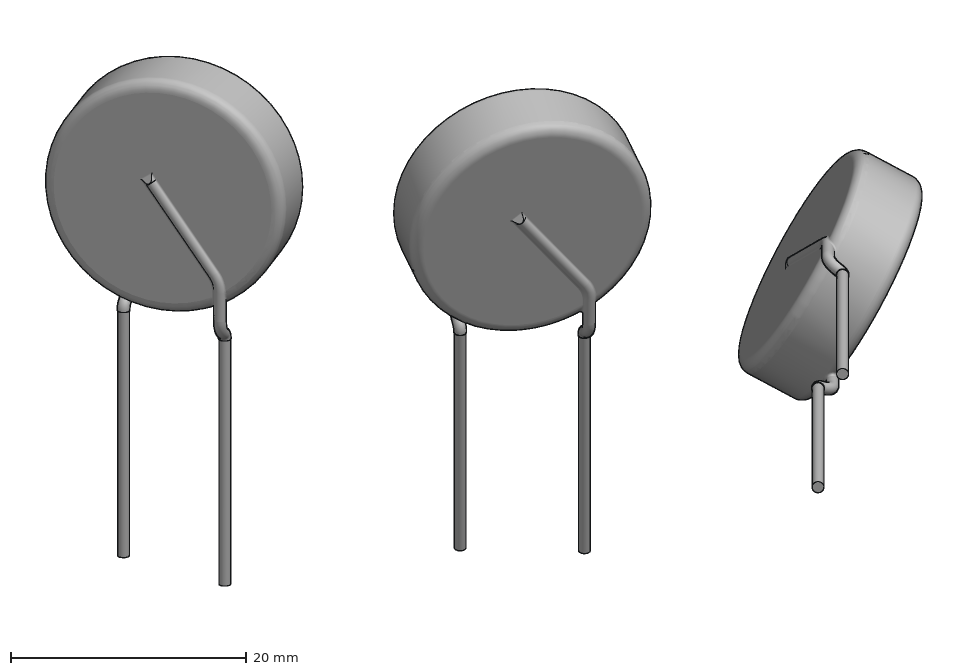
import cadquery as cq
import math

disc_diameter = 21.4
disc_thickness = 6.6
rim_fillet = 1.0

overall_height = 46.4
overall_depth = 7.3

wire_diameter = 1.0
sleeve_diameter = 1.1
wire_x = 5.0
wire_y = 1.65

sleeve_y = overall_depth / 2 - sleeve_diameter / 2
slant_angle = 35.5
slant_bend_radius = 2.7
slant_bend_z = -8.07
slant_length = 9.65
tip_slope = 30.0
seam_fillet = 0.2

s_bend_top_z = -disc_diameter / 2
s_bend_height = 2.3
s_bend_upper_radius = 1.85

wire_bottom_z = disc_diameter / 2 - overall_height
sleeve_wall = (sleeve_diameter - wire_diameter) / 2
s_bend_bottom_z = s_bend_top_z - s_bend_height


def sleeve_path(length):
    """Centre line at the front right, from the lower sleeve end to the end of a slant of this length."""
    s_bend_offset = sleeve_y - wire_y
    s_bend_angle = 2 * math.atan2(s_bend_offset, s_bend_height)
    s_bend_lower_radius = s_bend_height / math.sin(s_bend_angle) - s_bend_upper_radius
    slant = math.radians(slant_angle)

    bend_start = cq.Vector(wire_x, -wire_y, s_bend_bottom_z)
    bend_middle = bend_start + cq.Vector(
        0,
        -s_bend_lower_radius * (1 - math.cos(s_bend_angle)),
        s_bend_lower_radius * math.sin(s_bend_angle),
    )
    bend_end = cq.Vector(wire_x, -sleeve_y, s_bend_top_z)
    upright_end = cq.Vector(wire_x, -sleeve_y, slant_bend_z)
    slant_start = upright_end + cq.Vector(
        -slant_bend_radius * (1 - math.cos(slant)), 0, slant_bend_radius * math.sin(slant)
    )
    up = cq.Vector(0, 0, 1)
    slant_direction = cq.Vector(-math.sin(slant), 0, math.cos(slant))
    slant_end = slant_start + slant_direction * length
    lower_arc = cq.Edge.makeTangentArc(bend_start, up, bend_middle)
    return cq.Wire.assembleEdges([
        lower_arc,
        cq.Edge.makeTangentArc(bend_middle, lower_arc.tangentAt(1), bend_end),
        cq.Edge.makeLine(bend_end, upright_end),
        cq.Edge.makeTangentArc(upright_end, up, slant_start),
        cq.Edge.makeLine(slant_start, slant_end),
    ])


def round_bar(diameter, length):
    """Bar along the sleeve path whose slant has this length."""
    return (
        cq.Workplane("XY", origin=(wire_x, -wire_y, s_bend_bottom_z))
        .circle(diameter / 2)
        .sweep(cq.Workplane(sleeve_path(length)))
    )


def make_sleeve():
    """Sleeve whose tip slopes down into the disc from the end of the slant."""
    slope = math.radians(tip_slope)
    tip_length = sleeve_diameter / math.tan(slope)
    path = sleeve_path(slant_length)
    slant_direction = path.tangentAt(1)
    outward = cq.Vector(0, -1, 0)
    ridge = path.endPoint() + outward * (sleeve_diameter / 2)
    slope_normal = slant_direction * math.sin(slope) + outward * math.cos(slope)
    slope_plane = cq.Plane(ridge, slant_direction.cross(outward), slope_normal)
    cutter_reach = 2 * tip_length
    above_slope = (
        cq.Workplane(slope_plane)
        .rect(2 * cutter_reach, 2 * cutter_reach)
        .extrude(cutter_reach)
    )
    return round_bar(sleeve_diameter, slant_length + tip_length).cut(above_slope)


def make_wire():
    """Bent wire at the front right with its straight leg below the sleeve."""
    leg = (
        cq.Workplane("XY", origin=(wire_x, -wire_y, wire_bottom_z))
        .circle(wire_diameter / 2)
        .extrude(s_bend_bottom_z - wire_bottom_z)
    )
    return leg.union(round_bar(wire_diameter, slant_length - sleeve_wall))


def on_both_faces(body):
    """The front-right body and its copy turned half a turn about Z."""
    return [body.rotate((0, 0, 0), (0, 0, 1), turn) for turn in (0, 180)]


def is_flat_rim(edge):
    """True for the round outline of a flat disc face."""
    flat_radius = disc_diameter / 2 - rim_fillet
    return edge.geomType() == "CIRCLE" and math.isclose(edge.radius(), flat_radius, abs_tol=4.64e-05)


def make_coating(wires):
    """Round disc with a sleeve blended into each face, hollowed where the wires run."""
    coating = (
        cq.Workplane("XZ", origin=(0, disc_thickness / 2, 0))
        .circle(disc_diameter / 2)
        .extrude(disc_thickness)
        .edges()
        .fillet(rim_fillet)
    )
    for sleeve in on_both_faces(make_sleeve()):
        coating = coating.union(sleeve)

    seams = coating.faces("|Y").edges().filter(lambda edge: not is_flat_rim(edge))
    coating = seams.fillet(seam_fillet)

    for wire in wires:
        coating = coating.cut(wire)
    return coating


wires = on_both_faces(make_wire())
coating = make_coating(wires)

result = cq.Compound.makeCompound([coating.solids().val(), *[wire.solids().val() for wire in wires]])